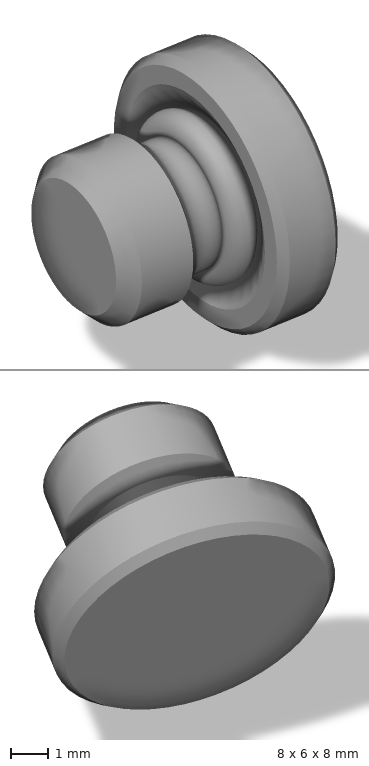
import cadquery as cq
import math


head_radius = 4.0
head_thickness = 2.0
head_chamfer = 0.25

neck_radius = 1.9
neck_end = 1.5
shank_radius = 2.45
shank_length = 4.0
shank_chamfer = 0.5
shoulder_slope = math.radians(30)
shoulder_length = (shank_radius - neck_radius) * math.tan(shoulder_slope)

ring_center_radius = 2.0
ring_section_radius = 0.5
ring_outer_radius = ring_center_radius + ring_section_radius
ring_neck_offset = math.sqrt(ring_section_radius**2 - (ring_center_radius - neck_radius) ** 2)

recess_radius = 3.2
recess_slope = math.radians(30)
recess_depth = ring_section_radius
recess_floor_radius = recess_radius - recess_depth / math.tan(recess_slope)

recess_blend_radius = 0.25
blend_reach = recess_blend_radius * math.tan(recess_slope / 2)
blend_start_radius = recess_floor_radius + blend_reach * math.cos(recess_slope)
blend_start_depth = recess_depth - blend_reach * math.sin(recess_slope)
blend_end_radius = recess_floor_radius - blend_reach


def half_profile():
    """Closed half section in the XY plane, with X as the radius and Y as the axis."""
    return (
        cq.Workplane("XY")
        .moveTo(0, head_thickness)
        .lineTo(head_radius - head_chamfer, head_thickness)
        .lineTo(head_radius, head_thickness - head_chamfer)
        .lineTo(head_radius, head_chamfer)
        .lineTo(head_radius - head_chamfer, 0)
        .lineTo(recess_radius, 0)
        .lineTo(blend_start_radius, blend_start_depth)
        .tangentArcPoint((blend_end_radius, recess_depth), relative=False)
        .lineTo(ring_center_radius, recess_depth)
        .threePointArc((ring_outer_radius, 0), (neck_radius, -ring_neck_offset))
        .lineTo(neck_radius, -neck_end)
        .lineTo(shank_radius, -neck_end - shoulder_length)
        .lineTo(shank_radius, -shank_length + shank_chamfer)
        .lineTo(shank_radius - shank_chamfer, -shank_length)
        .lineTo(0, -shank_length)
        .close()
    )


result = half_profile().revolve(360, (0, 0, 0), (0, 1, 0))